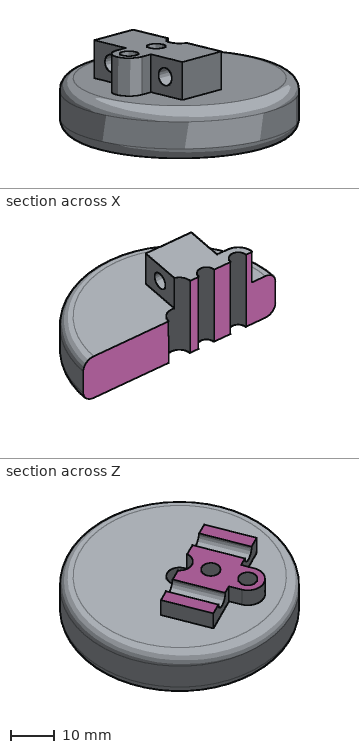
import cadquery as cq

base_diameter = 55.0
base_height = 12.5
edge_radius = 3.0

block_length = 28.0
block_depth = 13.0
block_height = 9.0
block_back_y = -0.7
block_front_y = block_back_y - block_depth
block_center_y = (block_back_y + block_front_y) / 2
total_height = base_height + block_height

lug_width = 8.05
lug_center_y = -16.8

center_hole_diameter = 6.05
pin_hole_diameter = 4.35
pin_hole_y = -7.7
cross_hole_diameter = 4.2
cross_hole_spacing = 17.0
cross_hole_z = base_height + block_height / 2


def make_base():
    """Disc with both rims rounded."""
    disc = cq.Workplane("XY").circle(base_diameter / 2).extrude(base_height)
    return disc.edges("%CIRCLE").fillet(edge_radius)


def make_block():
    """Rectangular block with a round-ended lug."""
    top_of_base = cq.Workplane("XY").workplane(offset=base_height)
    block = top_of_base.center(0, block_center_y).rect(block_length, block_depth).extrude(block_height)
    neck_length = block_center_y - lug_center_y
    neck_center_y = (block_center_y + lug_center_y) / 2
    neck = top_of_base.center(0, neck_center_y).rect(lug_width, neck_length).extrude(block_height)
    lug_end = top_of_base.center(0, lug_center_y).circle(lug_width / 2).extrude(block_height)
    return block.union(neck).union(lug_end)


def vertical_hole(diameter, y):
    """Cutter through the full height of the part."""
    return cq.Workplane("XY").center(0, y).circle(diameter / 2).extrude(total_height)


def cross_holes():
    """Pair of cutters through the block along Y, one on each side of the lug."""
    return (
        cq.Workplane("XZ", origin=(0, block_back_y, cross_hole_z))
        .pushPoints([(side * cross_hole_spacing / 2, 0) for side in (-1, 1)])
        .circle(cross_hole_diameter / 2)
        .extrude(block_depth)
    )


result = make_base().union(make_block())
result = result.cut(vertical_hole(center_hole_diameter, 0))
for hole_y in (pin_hole_y, lug_center_y):
    result = result.cut(vertical_hole(pin_hole_diameter, hole_y))
result = result.cut(cross_holes())